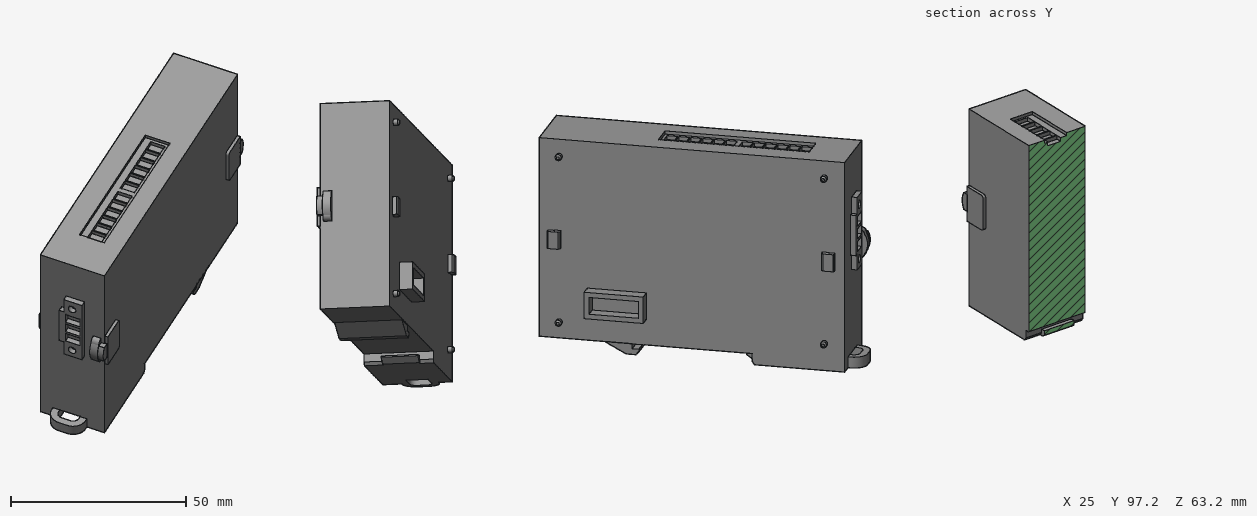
import cadquery as cq

BODY_X = 20.2
BODY_Y = 89.9
BODY_Z = 63.2
RAIL_DEPTH = 3.3
FOOT_Y = 27.2
FOOT_CHAMFER = (0.7, 1.0)

HOOK_START_Y = 70.8
HOOK_TOE_Y = 64.3
HOOK_NECK_Y = 62.6
HOOK_TIP_Y = 60.6
HOOK_LEDGE_Z = 1.75
HOOK_BEVEL = 0.9
HOOK_INSET = 0.3
NOSE_REACH = 2.7
NOSE_Z = 2.0
NOSE_BLUNT = 0.5

LOOP_X = 4.0
LOOP_WIDTH = 10.7
LOOP_REACH = 4.8
LOOP_WALL = 2.1
LOOP_RADIUS = 4.0
LOOP_POCKET = 4.9

STRIP_X = 6.7
STRIP_Y = 12.1
STRIP_WIDTH = 7.8
STRIP_LENGTH = 44.3
STRIP_DEPTH = 1.0
CELL_X = 8.8
CELL_WIDTH = 4.5
CELL_LENGTH = 3.1
CELL_PITCH = 3.5
CELL_DEPTH = 1.2
CELLS_PER_GROUP = 6
CELL_GROUPS_Y = (12.8, 35.0)

PLUG_X = 8.2
PLUG_WIDTH = 5.7
PLUG_Z = 28.3
PLUG_HEIGHT = 21.9
PLUG_REACH = 1.7
KEY_WIDTH = 1.5
KEY_Z = 33.0
KEY_HEIGHT = 12.1
WINDOW_X = 8.7
WINDOW_WIDTH = 4.5
WINDOW_HEIGHT = 3.0
WINDOW_PITCH = 3.8
WINDOW_Z = 33.7
WINDOW_COUNT = 3
SCREW_X = 10.8
SCREW_DIAMETER = 2.3
SCREW_HEIGHTS = (30.8, 47.2)

SOCKET_Y = 58.3
SOCKET_LENGTH = 17.4
SOCKET_Z = 11.1
SOCKET_HEIGHT = 8.0
SOCKET_REACH = 3.8
SOCKET_WALL = 1.5

PIN_DIAMETER = 1.8
PIN_REACH = 1.75
PIN_CHAMFER = 0.5
PIN_ROWS_Y = (5.9, 83.9)
PIN_ROWS_Z = (8.2, 58.1)
SNAP_Z = 30.6
SNAP_HEIGHT = 5.15
SNAP_INNER = 6.5
SNAP_STEM = 1.9
SNAP_OUTER = 2.7
SNAP_GAP = 0.3
SNAP_CHAMFER = 0.6
SNAP_TIP_CHAMFER = 0.3

LATCH_MIDDLE_Z = 33.2
GRIP_X = 16.7
GRIP_WIDTH = 2.4
GRIP_HEIGHT = 8.8
GRIP_REACH = 2.5
GRIP_SHOULDER_HEIGHT = 6.0
GRIP_SHOULDER_REACH = 1.7
GRIP_SHOULDER_BULGE = 0.3
NECK_WIDTH = 1.75
NECK_HEIGHT = 5.4
NECK_REACH = 2.3
NECK_SHOULDER_REACH = 1.6
PLATE_THICKNESS = 1.0
PLATE_HEIGHT = 11.2
PLATE_INSET = 0.3
PLATE_END_Y = 8.1
PLATE_RADIUS = 0.9


def block(x, y, z, dx, dy, dz):
    """Box with its lowest corner at (x, y, z)."""
    return cq.Workplane("XY").box(dx, dy, dz, centered=False).translate((x, y, z))


def side_profile(points, x, width):
    """Outline of (y, z) points extruded along +X from x."""
    return cq.Workplane("YZ", origin=(x, 0, 0)).polyline(points).close().extrude(width)


def mirrored_to_rear(shape):
    """Copy of a front-end feature, mirrored to the rear end of the housing."""
    return shape.mirror("XZ", (0, BODY_Y / 2, 0))


def housing():
    chamfer_y, chamfer_z = FOOT_CHAMFER
    return side_profile(
        [
            (0, 0),
            (FOOT_Y - chamfer_y, 0),
            (FOOT_Y, chamfer_z),
            (FOOT_Y, RAIL_DEPTH),
            (BODY_Y, RAIL_DEPTH),
            (BODY_Y, BODY_Z),
            (0, BODY_Z),
        ],
        0,
        BODY_X,
    )


def rear_rail_hook():
    return side_profile(
        [
            (HOOK_START_Y, RAIL_DEPTH),
            (HOOK_TOE_Y, 0),
            (HOOK_TIP_Y + HOOK_BEVEL, 0),
            (HOOK_TIP_Y, HOOK_BEVEL),
            (HOOK_TIP_Y, HOOK_LEDGE_Z),
            (HOOK_NECK_Y, HOOK_LEDGE_Z),
            (HOOK_NECK_Y, RAIL_DEPTH),
        ],
        HOOK_INSET,
        BODY_X - 2 * HOOK_INSET,
    )


def front_rail_nose():
    root_y = FOOT_Y - FOOT_CHAMFER[0]
    tip_y = FOOT_Y + NOSE_REACH
    return side_profile(
        [
            (root_y, 0),
            (FOOT_Y + NOSE_BLUNT, 0),
            (tip_y, NOSE_Z - NOSE_BLUNT),
            (tip_y - NOSE_BLUNT, NOSE_Z),
            (root_y, NOSE_Z),
        ],
        LOOP_X,
        LOOP_WIDTH,
    )


def release_loop():
    """Loop that stands in front of the housing, without its opening."""
    outer = block(LOOP_X, -LOOP_REACH, 0, LOOP_WIDTH, LOOP_REACH, RAIL_DEPTH)
    return outer.edges("|Z and <Y").fillet(LOOP_RADIUS)


def finger_opening():
    """Opening through the loop that continues under the front of the housing."""
    opening_width = LOOP_WIDTH - 2 * LOOP_WALL
    opening_reach = LOOP_REACH - LOOP_WALL
    opening_length = opening_reach + LOOP_POCKET
    opening = block(LOOP_X + LOOP_WALL, -opening_reach, 0, opening_width, opening_length, RAIL_DEPTH)
    return opening.edges("|Z and <Y").fillet(LOOP_RADIUS - LOOP_WALL)


def terminal_strip_recess():
    floor_z = BODY_Z - STRIP_DEPTH
    recess = block(STRIP_X, STRIP_Y, floor_z, STRIP_WIDTH, STRIP_LENGTH, STRIP_DEPTH)
    for group_y in CELL_GROUPS_Y:
        for i in range(CELLS_PER_GROUP):
            cell_y = group_y + i * CELL_PITCH
            cell = block(CELL_X, cell_y, floor_z - CELL_DEPTH, CELL_WIDTH, CELL_LENGTH, CELL_DEPTH)
            recess = recess.union(cell)
    return recess


def power_plug():
    plug = block(PLUG_X, -PLUG_REACH, PLUG_Z, PLUG_WIDTH, PLUG_REACH, PLUG_HEIGHT)
    plug = plug.union(block(PLUG_X - KEY_WIDTH, -PLUG_REACH, KEY_Z, KEY_WIDTH, PLUG_REACH, KEY_HEIGHT))
    for i in range(WINDOW_COUNT):
        window_z = WINDOW_Z + i * WINDOW_PITCH
        plug = plug.cut(block(WINDOW_X, -PLUG_REACH, window_z, WINDOW_WIDTH, PLUG_REACH, WINDOW_HEIGHT))
    screw_holes = (
        cq.Workplane("XZ")
        .pushPoints([(SCREW_X, z) for z in SCREW_HEIGHTS])
        .circle(SCREW_DIAMETER / 2)
        .extrude(PLUG_REACH)
    )
    return plug.cut(screw_holes)


def bus_socket():
    shell = block(-SOCKET_REACH, SOCKET_Y, SOCKET_Z, SOCKET_REACH, SOCKET_LENGTH, SOCKET_HEIGHT)
    cavity = block(
        -SOCKET_REACH,
        SOCKET_Y + SOCKET_WALL,
        SOCKET_Z + SOCKET_WALL,
        SOCKET_REACH,
        SOCKET_LENGTH - 2 * SOCKET_WALL,
        SOCKET_HEIGHT - 2 * SOCKET_WALL,
    )
    return shell.cut(cavity)


def locating_pins():
    return (
        cq.Workplane("YZ")
        .pushPoints([(y, z) for y in PIN_ROWS_Y for z in PIN_ROWS_Z])
        .circle(PIN_DIAMETER / 2)
        .extrude(-PIN_REACH)
        .faces("<X")
        .chamfer(PIN_CHAMFER)
    )


def front_snap():
    """Stem on the left face with a lip that reaches towards the front."""
    stem_y = SNAP_INNER - SNAP_STEM
    return (
        cq.Workplane("XY", origin=(0, 0, SNAP_Z))
        .polyline(
            [
                (0, SNAP_INNER),
                (SNAP_CHAMFER - PIN_REACH, SNAP_INNER),
                (-PIN_REACH, SNAP_INNER - SNAP_CHAMFER),
                (-PIN_REACH, SNAP_OUTER + SNAP_TIP_CHAMFER),
                (SNAP_TIP_CHAMFER - PIN_REACH, SNAP_OUTER),
                (-SNAP_GAP, SNAP_OUTER),
                (-SNAP_GAP, stem_y),
                (0, stem_y),
            ]
        )
        .close()
        .extrude(SNAP_HEIGHT)
    )


def latch_grip():
    """Finger grip with a domed front and rounded shoulders above and below it."""
    half = GRIP_HEIGHT / 2
    half_dome = GRIP_SHOULDER_HEIGHT / 2
    shoulder_y = -GRIP_SHOULDER_REACH
    middle_y = shoulder_y / 2 - GRIP_SHOULDER_BULGE
    middle_z = (half + half_dome) / 2 + GRIP_SHOULDER_BULGE
    return (
        cq.Workplane("YZ", origin=(GRIP_X, 0, LATCH_MIDDLE_Z))
        .moveTo(0, -half)
        .threePointArc((middle_y, -middle_z), (shoulder_y, -half_dome))
        .threePointArc((-GRIP_REACH, 0), (shoulder_y, half_dome))
        .threePointArc((middle_y, middle_z), (0, half))
        .close()
        .extrude(GRIP_WIDTH)
    )


def latch_neck(neck_x):
    """Straight-sided neck with a domed front, beside the grip."""
    half = NECK_HEIGHT / 2
    return (
        cq.Workplane("YZ", origin=(neck_x, 0, LATCH_MIDDLE_Z))
        .moveTo(0, -half)
        .lineTo(-NECK_SHOULDER_REACH, -half)
        .threePointArc((-NECK_REACH, 0), (-NECK_SHOULDER_REACH, half))
        .lineTo(0, half)
        .close()
        .extrude(NECK_WIDTH)
    )


def front_latch():
    neck_x = GRIP_X + GRIP_WIDTH
    bridge = block(
        BODY_X,
        0,
        LATCH_MIDDLE_Z - NECK_HEIGHT / 2,
        neck_x + NECK_WIDTH - BODY_X,
        PLATE_INSET,
        NECK_HEIGHT,
    )
    plate = block(
        BODY_X,
        PLATE_INSET,
        LATCH_MIDDLE_Z - PLATE_HEIGHT / 2,
        PLATE_THICKNESS,
        PLATE_END_Y - PLATE_INSET,
        PLATE_HEIGHT,
    )
    plate = plate.edges("|X and >Y").fillet(PLATE_RADIUS)
    return latch_grip().union(latch_neck(neck_x)).union(bridge).union(plate)


result = housing().union(release_loop())
result = result.cut(finger_opening()).cut(terminal_strip_recess())
for feature in (rear_rail_hook(), front_rail_nose(), power_plug(), bus_socket(), locating_pins()):
    result = result.union(feature)
for feature in (front_snap(), front_latch()):
    result = result.union(feature).union(mirrored_to_rear(feature))